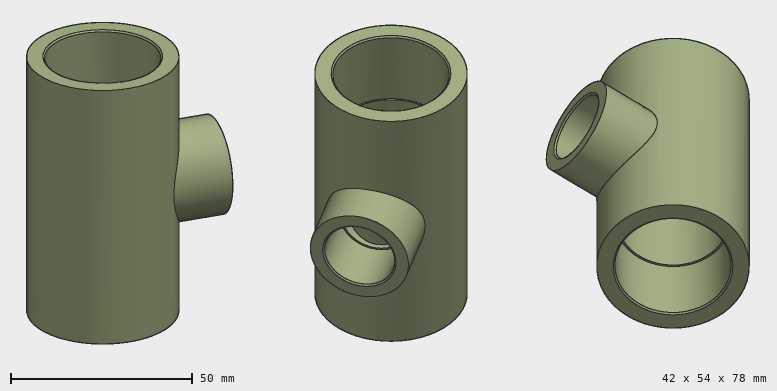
import cadquery as cq

main_length = 78.0
main_diameter = 42.0
main_bore = 31.0
main_socket = 32.0
main_socket_depth = 22.0

branch_reach = 33.0
branch_diameter = 28.0
branch_bore = 19.0
branch_socket = 20.0
branch_socket_depth = 16.0

mouth_chamfer = 0.5


def cylinder(diameter, length, start, direction):
    return cq.Workplane(cq.Solid.makeCylinder(diameter / 2, length, start, direction))


def socket(diameter, depth, mouth, inward):
    """Pipe socket with a 45 degree lead-in, cut from its mouth inward."""
    mouth_radius = diameter / 2 + mouth_chamfer
    lead_in = cq.Solid.makeCone(mouth_radius, diameter / 2, mouth_chamfer, mouth, inward)
    return cylinder(diameter, depth, mouth, inward).union(cq.Workplane(lead_in))


origin = cq.Vector(0, 0, 0)
up = cq.Vector(0, 0, 1)
outward = cq.Vector(0, 1, 0)
top_mouth = up * (main_length / 2)
bottom_mouth = -top_mouth
branch_mouth = outward * branch_reach

body = cylinder(main_diameter, main_length, bottom_mouth, up)
body = body.union(cylinder(branch_diameter, branch_reach, origin, outward))

body = body.cut(cylinder(main_bore, main_length, bottom_mouth, up))
body = body.cut(cylinder(branch_bore, branch_reach, origin, outward))

for mouth, inward in ((top_mouth, -up), (bottom_mouth, up)):
    body = body.cut(socket(main_socket, main_socket_depth, mouth, inward))
body = body.cut(socket(branch_socket, branch_socket_depth, branch_mouth, -outward))

result = body